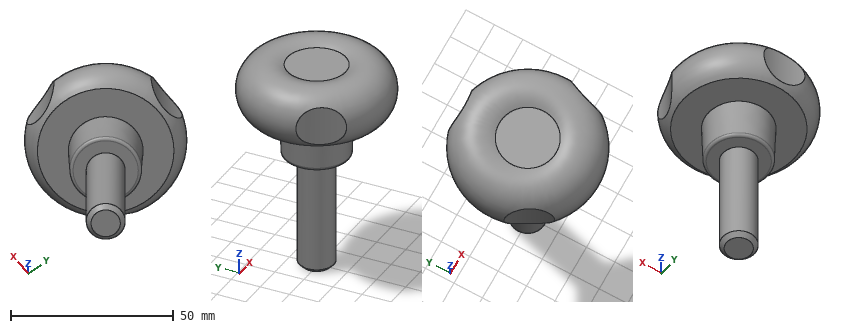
import cadquery as cq
import math

ring_radius = 15.0
ring_section_radius = 10.0
head_height = 18.0
top_flat_radius = 10.0

scallop_angles = (90.0, 210.0, 340.0)
scallop_radius = 25.0
scallop_depth = 2.5

hub_length = 15.0
hub_top_radius = 11.5
hub_bottom_radius = 11.0
hub_edge_fillet = 1.0

stud_diameter = 12.0
stud_length = 40.0
stud_chamfer = 1.5

head_bottom_z = hub_length
head_top_z = head_bottom_z + head_height
ring_center_z = head_top_z - ring_section_radius

top_flat_z = ring_center_z + math.sqrt(ring_section_radius**2 - (ring_radius - top_flat_radius) ** 2)
underside_radius = ring_radius + math.sqrt(
    ring_section_radius**2 - (ring_center_z - head_bottom_z) ** 2
)
rim_radius = ring_radius + ring_section_radius


def make_head():
    """Revolve the head profile about Z."""
    profile = (
        cq.Workplane("XZ")
        .moveTo(0, head_bottom_z)
        .lineTo(underside_radius, head_bottom_z)
        .threePointArc((ring_radius, head_top_z), (top_flat_radius, top_flat_z))
        .lineTo(0, top_flat_z)
        .close()
    )
    return profile.revolve(360, (0, 0, 0), (0, 1, 0))


def cut_scallops(head):
    """Cut upright cylindrical scallops into the rim."""
    axis_distance = rim_radius - scallop_depth + scallop_radius
    for angle_degrees in scallop_angles:
        angle = math.radians(angle_degrees)
        cutter = (
            cq.Workplane("XY", origin=(0, 0, head_bottom_z))
            .center(axis_distance * math.cos(angle), axis_distance * math.sin(angle))
            .circle(scallop_radius)
            .extrude(head_height)
        )
        head = head.cut(cutter)
    return head


def make_hub():
    """Cone narrowing downwards, with a rounded lower edge."""
    profile = (
        cq.Workplane("XZ")
        .lineTo(hub_bottom_radius, 0)
        .lineTo(hub_top_radius, head_bottom_z)
        .lineTo(0, head_bottom_z)
        .close()
    )
    hub = profile.revolve(360, (0, 0, 0), (0, 1, 0))
    return hub.faces("<Z").edges().fillet(hub_edge_fillet)


def make_stud():
    """Plain stud hanging from the hub, chamfered at its tip."""
    stud = cq.Workplane("XY").circle(stud_diameter / 2).extrude(-stud_length)
    return stud.faces("<Z").chamfer(stud_chamfer)


result = cut_scallops(make_head()).union(make_hub()).union(make_stud())